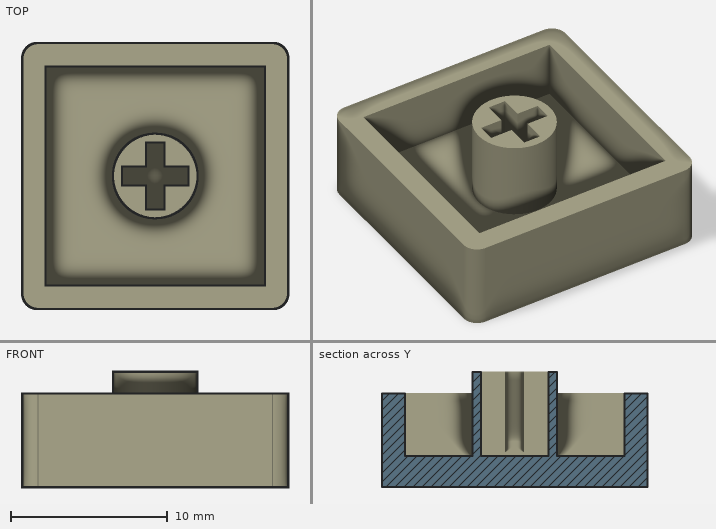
import cadquery as cq

body_side = 17.0
body_height = 6.0
corner_radius = 1.0

pocket_side = 14.0
floor_thickness = 2.0

stem_diameter = 5.4
total_height = 7.4
stem_height = total_height - floor_thickness

cross_span = 4.25
cross_arm_width = 1.2
cross_depth = stem_height


def make_tray():
    """Rounded square block hollowed by a sharp-cornered pocket."""
    block = (
        cq.Workplane("XY")
        .rect(body_side, body_side)
        .extrude(body_height)
        .edges("|Z")
        .fillet(corner_radius)
    )
    pocket = (
        cq.Workplane("XY", origin=(0, 0, floor_thickness))
        .rect(pocket_side, pocket_side)
        .extrude(body_height - floor_thickness)
    )
    return block.cut(pocket)


def make_stem():
    """Central round post rising from the pocket floor."""
    return (
        cq.Workplane("XY", origin=(0, 0, floor_thickness))
        .circle(stem_diameter / 2)
        .extrude(stem_height)
    )


def make_cross_socket():
    """Two crossed slots sunk from the top of the stem."""
    socket_plane = cq.Workplane("XY", origin=(0, 0, total_height))
    arm_along_x = socket_plane.rect(cross_span, cross_arm_width).extrude(-cross_depth)
    arm_along_y = socket_plane.rect(cross_arm_width, cross_span).extrude(-cross_depth)
    return arm_along_x.union(arm_along_y)


result = make_tray().union(make_stem()).cut(make_cross_socket())